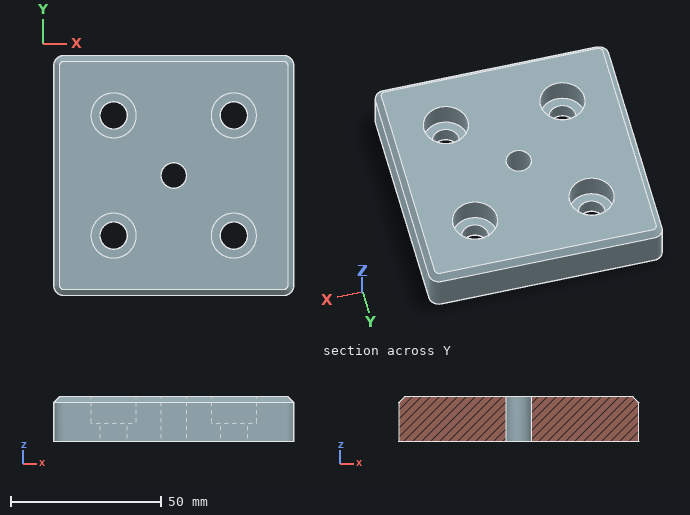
import cadquery as cq

side = 80.0
thickness = 15.0
corner_radius = 3.5
top_chamfer = 2.0

hole_spacing = 40.0
hole_diameter = 9.0
counterbore_diameter = 15.0
counterbore_depth = 9.0

center_hole_diameter = 8.38


def make_plate():
    """Square plate on Z = 0 with rounded corners and a chamfered top rim."""
    block = cq.Workplane("XY").box(side, side, thickness, centered=(True, True, False))
    rounded = block.edges("|Z").fillet(corner_radius)
    return rounded.faces(">Z").chamfer(top_chamfer)


def cut_mounting_holes(plate):
    """Four through holes, counterbored from the top face."""
    return (
        plate.faces(">Z")
        .workplane(origin=(0, 0, thickness))
        .rarray(hole_spacing, hole_spacing, 2, 2)
        .cboreHole(hole_diameter, counterbore_diameter, counterbore_depth)
    )


def cut_center_hole(plate):
    """One plain through hole on the plate axis."""
    return plate.faces(">Z").workplane(origin=(0, 0, thickness)).hole(center_hole_diameter)


result = cut_center_hole(cut_mounting_holes(make_plate()))